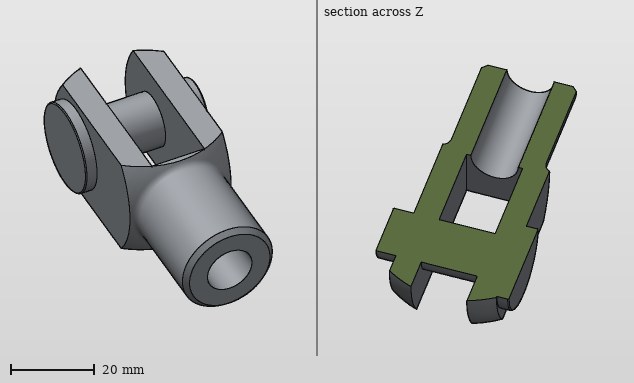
import cadquery as cq
import math

overall_length = 71.0
body_width = 27.0
half_width = body_width / 2
corner_radius = half_width * math.sqrt(2)

slot_width = 14.0
slot_end = 43.0

face_setback = 3.1
corner_setback = 7.8

shank_radius = 24.0 / 2
shank_chamfer = 1.3
shank_start = 46.4
blend_radius = 2.1
shoulder_corner_x = 39.55
shoulder_angle = math.radians(32)
bore_diameter = 11.85

pin_x = 15.0
pin_diameter = 14.0
pin_end = 18.5
pin_chamfer = 0.3
head_diameter = 23.0
head_thickness = 3.0
head_chamfer = 0.3


def turned_envelope():
    """Solid of revolution about X that shapes the tips, shoulder and shank."""
    turn = math.pi / 2 - shoulder_angle
    blend_x = shank_start - blend_radius * math.sin(turn)
    blend_r = shank_radius + blend_radius * (1 - math.cos(turn))
    middle_x = shank_start - blend_radius * math.sin(turn / 2)
    middle_r = shank_radius + blend_radius * (1 - math.cos(turn / 2))
    return (
        cq.Workplane("XY")
        .moveTo(0, 0)
        .lineTo(overall_length, 0)
        .lineTo(overall_length, shank_radius - shank_chamfer)
        .lineTo(overall_length - shank_chamfer, shank_radius)
        .lineTo(shank_start, shank_radius)
        .threePointArc((middle_x, middle_r), (blend_x, blend_r))
        .tangentArcPoint((shoulder_corner_x, corner_radius), relative=False)
        .lineTo(corner_setback, corner_radius)
        .threePointArc((face_setback, half_width), (0, slot_width / 2))
        .close()
        .revolve(360, (0, 0, 0), (1, 0, 0))
    )


def fork():
    """Square bar trimmed by the turned envelope, then slotted and bored."""
    bar = cq.Workplane("XY").box(
        overall_length, body_width, body_width, centered=(False, True, True)
    )
    slot = cq.Workplane("XY").box(
        slot_end, slot_width, body_width, centered=(False, True, True)
    )
    bore = cq.Workplane("YZ").circle(bore_diameter / 2).extrude(overall_length)
    return bar.intersect(turned_envelope()).cut(slot).cut(bore)


def pin():
    """Headed pin through both arms, its head resting on the -Y arm."""
    head_seat = cq.Workplane("XZ", origin=(pin_x, -half_width, 0))
    head = (
        head_seat.circle(head_diameter / 2)
        .extrude(head_thickness)
        .faces("<Y")
        .chamfer(head_chamfer)
    )
    stem = (
        head_seat.circle(pin_diameter / 2)
        .extrude(-(half_width + pin_end))
        .faces(">Y")
        .chamfer(pin_chamfer)
    )
    return head.union(stem)


result = fork().union(pin())